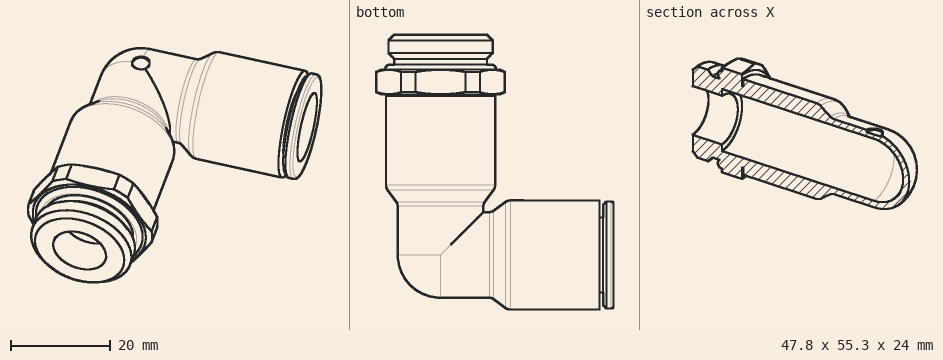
import cadquery as cq
import math

elbow_radius = 8.6
body_radius = 11.0
shoulder_start = 10.3
shoulder_end = 13.5
body_end = 31.95
shoulder_root_fillet = 1.45
shoulder_crest_fillet = 1.65
passage_radius = 7.0

collar_end = 34.8
collar_width = 2.1
collar_radius = 10.8
collar_neck_radius = 7.6
collar_inner_chamfer = 0.65
collar_outer_fillet = 0.5

disc_radius = 1.75
disc_depth = 0.5

hex_start = 32.25
hex_width = 5.05
hex_across_flats = 24.0
hex_corner_radius = 13.0
hex_face_radius = 11.85
hex_chamfer_height = 0.5
spigot_neck_radius = 9.35
seal_outer_radius = 11.15
seal_section_radius = 1.0
thread_radius = 10.5
thread_chamfer = thread_radius - spigot_neck_radius
spigot_end = 55.3 - body_radius
spigot_bore_radius = 5.55
spigot_bore_depth = 7.2
thread_width = 3.7


def turned(points):
    """Solid of revolution about X from (x, radius) outline points, closed along the axis."""
    outline = [(points[0][0], 0)] + points + [(points[-1][0], 0)]
    return cq.Workplane("XY").polyline(outline).close().revolve(360, (0, 0, 0), (1, 0, 0))


def cylinder(start, end, radius):
    return turned([(start, radius), (end, radius)])


def circle_edges(solid, position):
    """The circular edges of a turned solid at one position along X."""
    reach = 2 * body_radius
    margin = 0.005
    box = cq.selectors.BoxSelector(
        (position - margin, -reach, -reach), (position + margin, reach, reach), boundingbox=True
    )
    return solid.edges(box)


def arm():
    body = turned([
        (0, elbow_radius),
        (shoulder_start, elbow_radius),
        (shoulder_end, body_radius),
        (body_end, body_radius),
    ])
    body = circle_edges(body, shoulder_start).fillet(shoulder_root_fillet)
    return circle_edges(body, shoulder_end).fillet(shoulder_crest_fillet)


def release_collar():
    collar_start = collar_end - collar_width
    collar = cylinder(collar_start, collar_end, collar_radius)
    collar = circle_edges(collar, collar_start).chamfer(collar_inner_chamfer)
    collar = circle_edges(collar, collar_end).fillet(collar_outer_fillet)
    return collar.union(cylinder(body_end, collar_start, collar_neck_radius))


def hexagon():
    hex_end = hex_start + hex_width
    prism = (
        cq.Workplane("YZ", origin=(hex_start, 0, 0))
        .polygon(6, hex_across_flats / math.cos(math.radians(30)))
        .extrude(hex_width)
    )
    turned_limit = turned([
        (hex_start, hex_face_radius),
        (hex_start + hex_chamfer_height, hex_corner_radius),
        (hex_end - hex_chamfer_height, hex_corner_radius),
        (hex_end, hex_face_radius),
    ])
    return prism.intersect(turned_limit)


def seal_ring():
    """O-ring lying around the spigot neck, half sunk into the face of the hexagon."""
    section_centre_radius = seal_outer_radius - seal_section_radius
    section = cq.Workplane("XY", origin=(hex_start + hex_width, section_centre_radius, 0)).circle(seal_section_radius)
    return section.revolve(360, (0, -section_centre_radius, 0), (1, -section_centre_radius, 0))


def threaded_spigot():
    thread_start = spigot_end - thread_width
    return turned([
        (body_end, spigot_neck_radius),
        (thread_start - thread_chamfer, spigot_neck_radius),
        (thread_start, thread_radius),
        (spigot_end - thread_chamfer, thread_radius),
        (spigot_end, spigot_neck_radius),
    ])


def toward_minus_y(solid):
    return solid.rotate((0, 0, 0), (0, 0, 1), -90)


tube_arm = arm().union(release_collar())
thread_arm = toward_minus_y(arm().union(threaded_spigot()).union(hexagon()).union(seal_ring()))
outer = cq.Workplane("XY").sphere(elbow_radius).union(tube_arm).union(thread_arm)

tube_passage = cylinder(0, collar_end, passage_radius)
spigot_passage = cylinder(0, spigot_end - spigot_bore_depth, passage_radius).union(
    cylinder(0, spigot_end, spigot_bore_radius)
)
passage = cq.Workplane("XY").sphere(passage_radius).union(tube_passage).union(toward_minus_y(spigot_passage))

disc_recess = (
    cq.Workplane("XY", origin=(0, 0, elbow_radius - disc_depth)).circle(disc_radius).extrude(disc_depth)
)

result = outer.cut(passage).cut(disc_recess)